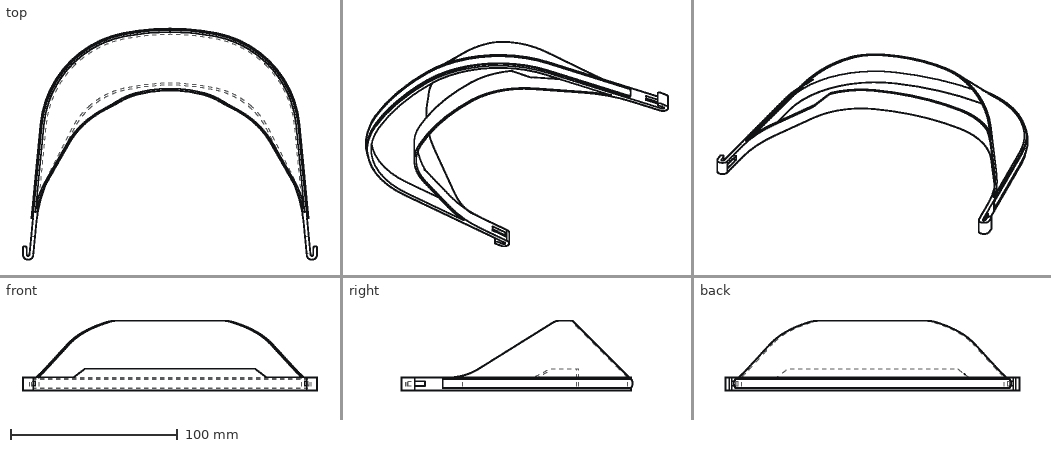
import math

import cadquery as cq


half_width = 88.39
band_height = 8.0
visor_top_z = 42.0

bead_front_y = 138.9
bead_depth = 0.9
band_front_y = bead_front_y - bead_depth
band_thickness = 2.4
band_front_radius = 143.6
band_front_angle = 11.2
band_side_radius = 61.2
arm_angle = 5.5

bead_bottom_z = 1.3
bead_top_z = 7.3
bead_lip = 0.1
bead_shoulder = 0.5
bead_end_y = 24.9

visor_wall = 1.2
visor_inset = band_thickness - visor_wall
visor_front_y = 102.9
visor_front_radius = 79.0
visor_front_angle = 14.8
visor_side_radius = 42.2
visor_end_y = 10.0

rear_edge_top_y = 92.8
rear_edge_bottom_y = 38.2
rear_top_radius = 6.0
rear_bottom_radius = 34.0

head_thickness = 1.2
head_front_y = 105.1
head_front_radius = 125.0
head_front_angle = 12.9
head_side_radius = 44.9
head_straight_angle = 27.0
head_blend_radius = 80.0
head_raised_z = 13.0
raised_half_width = 51.2
ramp_half_width = 57.8

hook_thickness = band_thickness
hook_outer_radius = 3.2
hook_inner_radius = hook_outer_radius - hook_thickness
hook_center_x = half_width - hook_outer_radius
hook_tip_y = 8.2
slot_bottom_z = 2.8
slot_top_z = 5.6
slot_front_y = 14.2
slot_rear_y = 3.8


def polar(center, radius, degrees_from_y):
    """Point on a circle, with the angle measured from +Y toward +X."""
    angle = math.radians(degrees_from_y)
    return (center[0] + radius * math.sin(angle), center[1] + radius * math.cos(angle))


def mirrored(point):
    return (-point[0], point[1])


def with_mirror_image(body):
    return body.union(body.mirror("YZ"))


def bow(front_y, front_radius, front_angle, side_radius, end_angle):
    """Points of two tangent arcs on the right: apex, joint, middle of the side arc, end."""
    joint = polar((0, front_y - front_radius), front_radius, front_angle)
    side_center = polar(joint, -side_radius, front_angle)
    return [
        (0, front_y),
        joint,
        polar(side_center, side_radius, (front_angle + end_angle) / 2),
        polar(side_center, side_radius, end_angle),
    ]


def along_arm(start, end_y):
    """Point at end_y on the arm line through start."""
    return (start[0] + (start[1] - end_y) * math.tan(math.radians(arm_angle)), end_y)


def draw_bow(plane, points):
    """Whole bow, from its left end over the front to its right end."""
    apex, joint, side_mid, end = points
    return (
        plane.moveTo(*mirrored(end))
        .threePointArc(mirrored(side_mid), mirrored(joint))
        .threePointArc(apex, joint)
        .threePointArc(side_mid, end)
    )


def band_points(inset):
    return bow(
        band_front_y - inset,
        band_front_radius - inset,
        band_front_angle,
        band_side_radius - inset,
        90 - arm_angle,
    )


def visor_top_points(inset):
    return bow(
        visor_front_y - inset,
        visor_front_radius - inset,
        visor_front_angle,
        visor_side_radius - inset,
        90 - arm_angle,
    )


def bow_area(z, points, end_y):
    """Closed outline at height z: the bow, its two straight arms and a line across at end_y."""
    arm_end = along_arm(points[-1], end_y)
    plane = cq.Workplane("XY", origin=(0, 0, z))
    return draw_bow(plane, points).lineTo(*arm_end).lineTo(*mirrored(arm_end)).close()


def outer_band():
    def filled(inset):
        return bow_area(0, band_points(inset), hook_outer_radius).extrude(band_height)

    return filled(0).cut(filled(band_thickness))


def bead():
    apex, joint, side_mid, end = band_points(0)
    front_center = (0, band_front_y - band_front_radius)
    path = (
        cq.Workplane("XY")
        .moveTo(*apex)
        .threePointArc(polar(front_center, band_front_radius, band_front_angle / 2), joint)
        .threePointArc(side_mid, end)
        .lineTo(*along_arm(end, bead_end_y))
    )
    root_y = band_front_y - band_thickness / 2
    lip_y = band_front_y + bead_lip
    section = (
        cq.Workplane("YZ")
        .moveTo(root_y, bead_bottom_z)
        .lineTo(lip_y, bead_bottom_z)
        .lineTo(lip_y, bead_bottom_z + bead_shoulder)
        .threePointArc(
            (bead_front_y, (bead_bottom_z + bead_top_z) / 2),
            (lip_y, bead_top_z - bead_shoulder),
        )
        .lineTo(lip_y, bead_top_z)
        .lineTo(root_y, bead_top_z)
        .close()
    )
    return with_mirror_image(section.sweep(path))


def visor():
    def filled(inset):
        base = bow_area(band_height, band_points(visor_inset + inset), visor_end_y)
        top = bow_area(visor_top_z, visor_top_points(inset), visor_end_y)
        return cq.Workplane(cq.Solid.makeLoft([base.val(), top.val()], True))

    rear_cut = (
        cq.Workplane("YZ")
        .moveTo(bead_front_y, band_height)
        .lineTo(bead_front_y, visor_top_z)
        .lineTo(rear_edge_top_y, visor_top_z)
        .lineTo(rear_edge_bottom_y, band_height)
        .lineTo(visor_end_y, band_height)
        .lineTo(visor_end_y, 0)
        .lineTo(bead_front_y, 0)
        .close()
        .extrude(half_width, both=True)
    )
    top_edge = cq.selectors.NearestToPointSelector((0, rear_edge_top_y, visor_top_z))
    bottom_edge = cq.selectors.NearestToPointSelector((0, rear_edge_bottom_y, band_height))
    rear_cut = rear_cut.edges(top_edge).fillet(rear_top_radius)
    rear_cut = rear_cut.edges(bottom_edge).fillet(rear_bottom_radius)
    return filled(0).cut(filled(visor_wall)).intersect(rear_cut)


def head_band_area(inset):
    """Outline of the head band's inner face, moved inward by inset (outward if negative)."""
    points = bow(
        head_front_y - inset,
        head_front_radius - inset,
        head_front_angle,
        head_side_radius - inset,
        90 - head_straight_angle,
    )
    bow_end = points[-1]
    arm_foot = along_arm(band_points(band_thickness + inset)[-1], 0)
    straight_slope = math.tan(math.radians(head_straight_angle))
    arm_slope = math.tan(math.radians(arm_angle))
    corner_y = (bow_end[0] + bow_end[1] * straight_slope - arm_foot[0]) / (straight_slope - arm_slope)
    corner = along_arm(arm_foot, corner_y)
    turn = head_straight_angle - arm_angle
    blend_radius = head_blend_radius - inset
    tangent = blend_radius * math.tan(math.radians(turn / 2))
    blend_start = polar(corner, -tangent, 180 - head_straight_angle)
    blend_end = polar(corner, tangent, 180 - arm_angle)
    blend_center = polar(blend_start, -blend_radius, 90 - head_straight_angle)
    blend_mid = polar(blend_center, blend_radius, 90 - (head_straight_angle + arm_angle) / 2)
    arm_end = along_arm(arm_foot, hook_outer_radius)
    return (
        draw_bow(cq.Workplane("XY"), points)
        .lineTo(*blend_start)
        .threePointArc(blend_mid, blend_end)
        .lineTo(*arm_end)
        .lineTo(*mirrored(arm_end))
        .lineTo(*mirrored(blend_end))
        .threePointArc(mirrored(blend_mid), mirrored(blend_start))
        .close()
    )


def head_band():
    ring = head_band_area(-head_thickness).extrude(head_raised_z)
    ring = ring.cut(head_band_area(0).extrude(head_raised_z))
    front_shape = (
        cq.Workplane("XZ")
        .polyline([
            (-half_width, 0),
            (half_width, 0),
            (half_width, band_height),
            (ramp_half_width, band_height),
            (raised_half_width, head_raised_z),
            (-raised_half_width, head_raised_z),
            (-ramp_half_width, band_height),
            (-half_width, band_height),
        ])
        .close()
        .extrude(-bead_front_y)
    )
    return ring.intersect(front_shape)


def hook():
    right = hook_center_x + hook_outer_radius
    left = hook_center_x - hook_outer_radius
    gap_right = hook_center_x + hook_inner_radius
    gap_left = hook_center_x - hook_inner_radius
    tip_radius = hook_thickness / 2
    tip_base_y = hook_tip_y - tip_radius
    return (
        cq.Workplane("XY")
        .moveTo(left, hook_outer_radius)
        .threePointArc((hook_center_x, 0), (right, hook_outer_radius))
        .lineTo(right, tip_base_y)
        .threePointArc((right - tip_radius, hook_tip_y), (gap_right, tip_base_y))
        .lineTo(gap_right, hook_outer_radius)
        .threePointArc((hook_center_x, hook_thickness), (gap_left, hook_outer_radius))
        .close()
        .extrude(band_height)
    )


def strap_slot():
    length = slot_front_y - slot_rear_y
    height = slot_top_z - slot_bottom_z
    width = 2 * hook_outer_radius
    return cq.Workplane("XY").box(width, length, height, centered=False).translate(
        (hook_center_x - width, slot_rear_y, slot_bottom_z)
    )


frame = outer_band().union(bead()).union(visor()).union(head_band())
result = frame.union(with_mirror_image(hook())).cut(with_mirror_image(strap_slot())).clean()